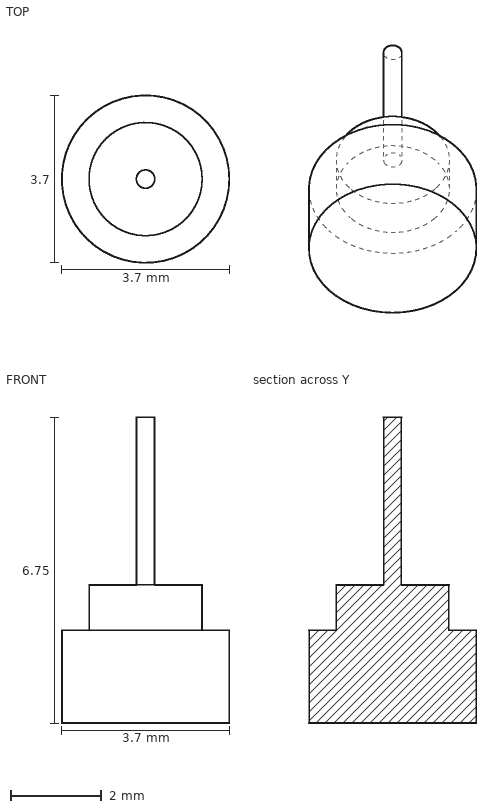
import cadquery as cq

total_height = 6.75
base_diameter = 3.7
base_height = 2.05
collar_diameter = 2.5
collar_height = 1.0
insert_diameter = 1.95
pin_diameter = 0.405

collar_top = base_height + collar_height
pin_length = total_height - collar_top


def cylinder(diameter, height, bottom):
    """Upright cylinder on the Z axis, starting at the given height."""
    return cq.Workplane("XY").workplane(offset=bottom).circle(diameter / 2).extrude(height)


base = cylinder(base_diameter, base_height, 0)

insert = cylinder(insert_diameter, collar_height, base_height)
collar = cylinder(collar_diameter, collar_height, base_height).cut(insert)

pin = cylinder(pin_diameter, pin_length, collar_top)

result = base
for section in (collar, insert, pin):
    result = result.union(section, clean=False)